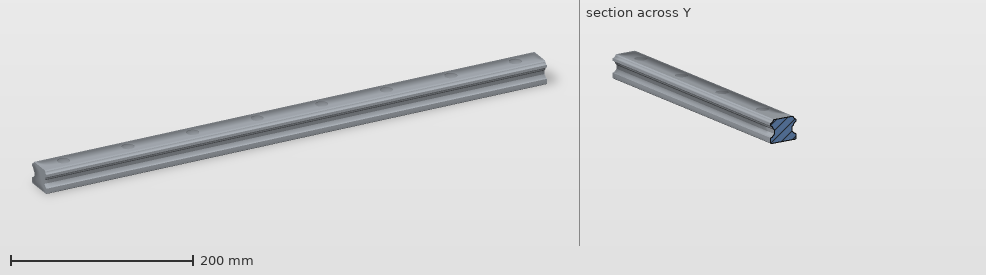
import cadquery as cq

length = 620.0
width = 34.0
height = 27.0

half_width = width / 2
half_top = 12.5
half_waist = 12.0
lip_top = 23.5
lip_bottom = 20.5
top_chamfer = 1.0
groove_sag = 0.75
lower_groove_end = 17.0
waist_bottom = 10.5
foot_inner_height = 7.5
foot_outer_height = 7.0
foot_chamfer = 0.9

hole_count = 8
hole_pitch = 80.0
hole_diameter = 14.0
recess_depth = 0.5


def rail_body():
    """Symmetric rail profile extruded along Y, centred on the origin in Y."""
    flare = waist_bottom - foot_inner_height
    half_neck = half_top + top_chamfer
    undercut = half_neck - half_waist
    half_profile = (
        cq.Workplane("XZ", origin=(0, length / 2, 0))
        .moveTo(0, 0)
        .lineTo(half_width - foot_chamfer, 0)
        .lineTo(half_width, foot_chamfer)
        .lineTo(half_width, foot_outer_height)
        .lineTo(half_waist + flare, foot_inner_height)
        .lineTo(half_waist, waist_bottom)
        .lineTo(half_waist, lower_groove_end - undercut)
        .lineTo(half_neck, lower_groove_end)
        .sagittaArc((half_width, lip_bottom), groove_sag)
        .lineTo(half_width, lip_top)
        .sagittaArc((half_neck, height - top_chamfer), groove_sag)
        .lineTo(half_top, height)
        .lineTo(0, height)
        .mirrorY()
    )
    return half_profile.extrude(length)


def hole_recesses():
    """Row of shallow round recesses, evenly spaced about the middle of the rail."""
    return (
        cq.Workplane("XY", origin=(0, 0, height - recess_depth))
        .rarray(6, hole_pitch, 1, hole_count)
        .circle(hole_diameter / 2)
        .extrude(recess_depth)
    )


result = rail_body().cut(hole_recesses())